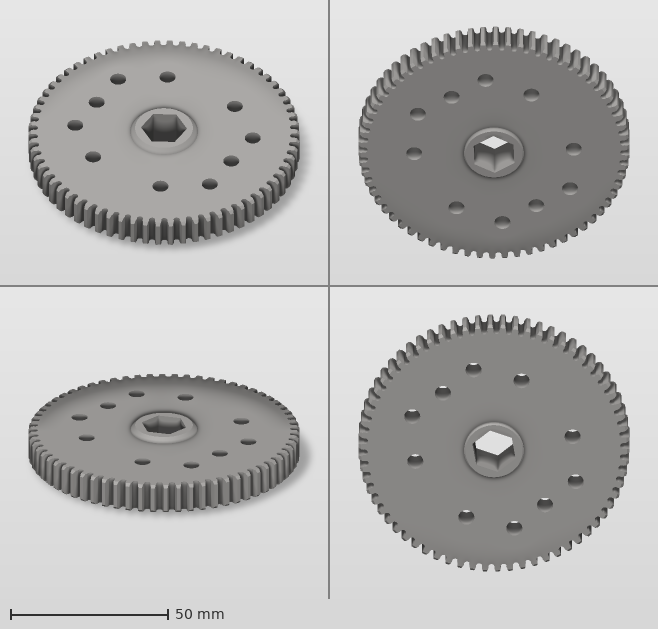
import cadquery as cq
import math


outer_diameter = 86.4
tooth_count = 66
pressure_angle = math.radians(14.5)
tooth_depth = 3.0
backlash = 0.1
root_arc_height = 1.3
tip_chamfer = 0.9

face_width = 9.5
total_height = 12.7
hub_height = (total_height - face_width) / 2

upper_hub_diameter = 21.6
upper_hub_taper = 45
lower_hub_diameter = 19.1
lower_hub_chamfer = 0.4
hex_across_flats = 12.7

hole_diameter = 5.1
hole_circle_radius = 25.4
hole_circle_count = 6
side_hole_offset = hole_circle_radius / 2

module = outer_diameter / (tooth_count + 2)
outer_radius = outer_diameter / 2
pitch_radius = module * tooth_count / 2
base_radius = pitch_radius * math.cos(pressure_angle)
root_radius = outer_radius - tooth_depth
flank_start_radius = root_radius + root_arc_height
flank_middle_radius = (flank_start_radius + outer_radius) / 2
tooth_pitch = 2 * math.pi / tooth_count
top_z = face_width / 2
bottom_z = -face_width / 2


def polar(radius, angle):
    """Return the XY point at a radius and an angle in radians."""
    return (radius * math.cos(angle), radius * math.sin(angle))


def involute(angle):
    """Return the involute function of an angle."""
    return math.tan(angle) - angle


def tooth_half_angle(radius):
    """Return half the angle that a tooth spans at a radius on its involute flank."""
    flank_angle = math.acos(base_radius / radius)
    pitch_half_angle = tooth_pitch / 4 - backlash / 2 / pitch_radius
    return pitch_half_angle + involute(pressure_angle) - involute(flank_angle)


def gear_outline():
    """Draw all teeth: involute flanks as arcs, rounded tips and rounded roots."""
    start_half = tooth_half_angle(flank_start_radius)
    middle_half = tooth_half_angle(flank_middle_radius)
    tip_half = tooth_half_angle(outer_radius)
    first_point = polar(flank_start_radius, -start_half)
    outline = cq.Workplane("XY", origin=(0, 0, bottom_z)).moveTo(*first_point)
    for tooth in range(tooth_count):
        center = tooth * tooth_pitch
        gap_center = center + tooth_pitch / 2
        next_start = center + tooth_pitch - start_half
        right_middle = polar(flank_middle_radius, center - middle_half)
        right_tip = polar(outer_radius, center - tip_half)
        left_tip = polar(outer_radius, center + tip_half)
        left_middle = polar(flank_middle_radius, center + middle_half)
        left_start = polar(flank_start_radius, center + start_half)
        outline = (
            outline
            .threePointArc(right_middle, right_tip)
            .threePointArc(polar(outer_radius, center), left_tip)
            .threePointArc(left_middle, left_start)
            .threePointArc(polar(root_radius, gap_center), polar(flank_start_radius, next_start))
        )
    return outline.close()


def gear_body():
    """Extrude the toothing and bevel the tooth tips at both faces."""
    tip_envelope = (
        cq.Workplane("XY", origin=(0, 0, bottom_z))
        .circle(outer_radius)
        .extrude(face_width)
        .edges("%CIRCLE")
        .chamfer(tip_chamfer)
    )
    return gear_outline().extrude(face_width).intersect(tip_envelope)


def upper_hub():
    """Make the raised hub whose whole side is a 45 degree cone."""
    return (
        cq.Workplane("XY", origin=(0, 0, top_z))
        .circle(upper_hub_diameter / 2)
        .extrude(hub_height, taper=upper_hub_taper)
    )


def lower_hub():
    """Make the cylindrical hub with a bevelled lower rim."""
    return (
        cq.Workplane("XY", origin=(0, 0, bottom_z))
        .circle(lower_hub_diameter / 2)
        .extrude(-hub_height)
        .faces("<Z")
        .chamfer(lower_hub_chamfer)
    )


def hex_bore():
    """Make the hexagonal through bore with two corners on the Y axis."""
    across_corners = hex_across_flats / math.cos(math.pi / 6)
    return (
        cq.Workplane("XY", origin=(0, 0, bottom_z - hub_height))
        .transformed(rotate=(0, 0, 90))
        .polygon(6, across_corners)
        .extrude(total_height)
    )


def mounting_holes():
    """Make six holes on a circle, plus one above and below each hole on the X axis."""
    hole_step = 2 * math.pi / hole_circle_count
    centers = [polar(hole_circle_radius, index * hole_step) for index in range(hole_circle_count)]
    for x_side in (-1, 1):
        for y_side in (-1, 1):
            centers.append((x_side * hole_circle_radius, y_side * side_hole_offset))
    return (
        cq.Workplane("XY", origin=(0, 0, bottom_z))
        .pushPoints(centers)
        .circle(hole_diameter / 2)
        .extrude(face_width)
    )


result = (
    gear_body()
    .union(upper_hub())
    .union(lower_hub())
    .cut(hex_bore())
    .cut(mounting_holes())
)